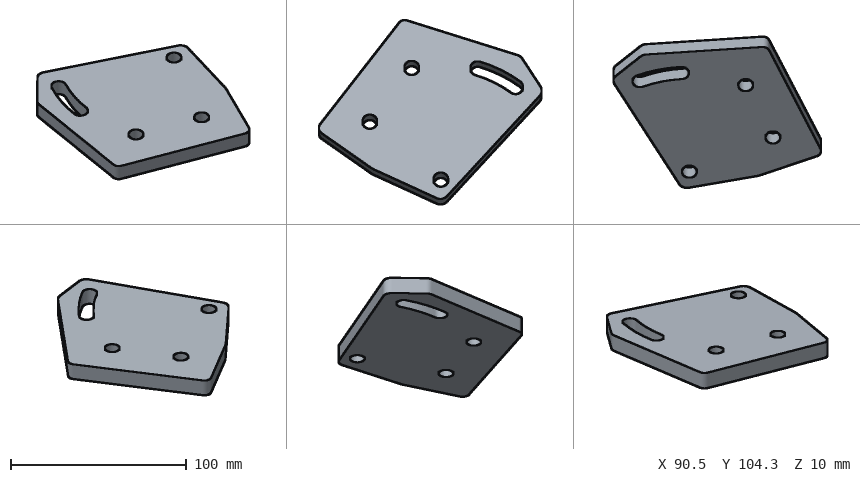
import cadquery as cq
import math

width = 90.5
length = 104.3
thickness = 10.0

corners = [
    ((23.0, -0.3), 5.0),
    ((width, 21.8), 4.0),
    ((width, length), 4.0),
    ((50.7, length), 10.0),
    ((7.0, 96.1), 5.0),
    ((-0.3, 9.0), 5.0),
]

hole_diameter = 8.5
pivot = (15.4, 86.4)
mount_x = 68.6
mount_holes = [(mount_x, 42.2), (mount_x, 82.4)]

slot_radius = 70.0
slot_start = -91.0
slot_end = -71.0


def rounded_plate():
    plate = cq.Workplane("XY").polyline([point for point, _ in corners]).close().extrude(thickness)
    for (x, y), radius in corners:
        edge = cq.selectors.NearestToPointSelector((x, y, thickness / 2))
        plate = plate.edges("|Z").edges(edge).fillet(radius)
    return plate


def about_pivot(radius, angle):
    """Point at a polar position about the pivot hole, angle in degrees."""
    turn = math.radians(angle)
    return (pivot[0] + radius * math.cos(turn), pivot[1] + radius * math.sin(turn))


def curved_slot():
    half_width = hole_diameter / 2
    inner = slot_radius - half_width
    outer = slot_radius + half_width
    middle = (slot_start + slot_end) / 2
    return (
        cq.Workplane("XY")
        .moveTo(*about_pivot(inner, slot_start))
        .threePointArc(about_pivot(inner, middle), about_pivot(inner, slot_end))
        .threePointArc(cap_tip(slot_end, 1), about_pivot(outer, slot_end))
        .threePointArc(about_pivot(outer, middle), about_pivot(outer, slot_start))
        .threePointArc(cap_tip(slot_start, -1), about_pivot(inner, slot_start))
        .close()
        .extrude(thickness)
    )


def cap_tip(angle, direction):
    """Outermost point of a slot end; direction is +1 counterclockwise, -1 clockwise."""
    x, y = about_pivot(slot_radius, angle)
    reach = direction * hole_diameter / 2
    turn = math.radians(angle)
    return (x - reach * math.sin(turn), y + reach * math.cos(turn))


holes = (
    cq.Workplane("XY")
    .pushPoints([pivot] + mount_holes)
    .circle(hole_diameter / 2)
    .extrude(thickness)
)

result = rounded_plate().cut(holes).cut(curved_slot())